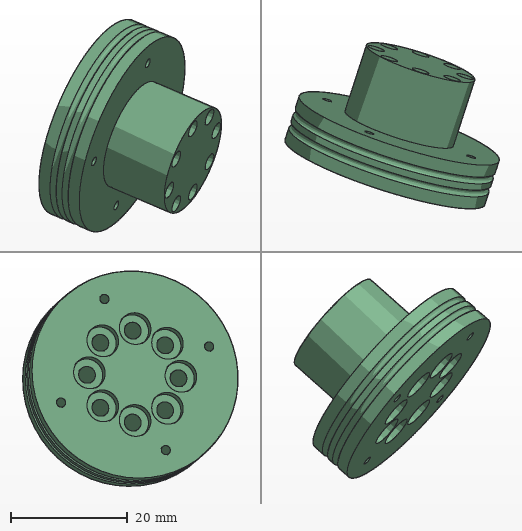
import cadquery as cq

flange_diameter = 36.0
flange_thickness = 8.0
hub_diameter = 19.5
total_length = 20.0

groove_count = 2
groove_width = 1.2
groove_radius = groove_width / 2
groove_pitch = 2 * groove_width
grooved_band_width = (groove_count - 1) * groove_pitch + groove_width
outer_land_width = (flange_thickness - grooved_band_width) / 2

bolt_count = 8
bolt_circle_radius = 8.0
bolt_hole_diameter = 2.9
bolt_start_angle = 0
counterbore_diameter = 5.5
counterbore_depth = 1.98

pin_count = 4
pin_circle_radius = 14.0
pin_hole_diameter = 1.6
pin_start_angle = 67.5


def cylinder_along_x(diameter, length):
    """Solid cylinder on the X axis, starting at the front face X = 0."""
    return cq.Workplane("YZ").circle(diameter / 2).extrude(length)


def hole_ring(circle_radius, start_angle, count, diameter, depth):
    """Ring of evenly spaced cylinders, entering from the front face."""
    return (
        cq.Workplane("YZ")
        .polarArray(circle_radius, start_angle, 360, count)
        .circle(diameter / 2)
        .extrude(depth)
    )


def rim_groove(center_x):
    """Ring of circular section, centred on the rim of the flange."""
    return (
        cq.Workplane("XY")
        .center(center_x, flange_diameter / 2)
        .circle(groove_radius)
        .revolve(360, (0, -flange_diameter / 2, 0), (1, -flange_diameter / 2, 0))
    )


flange = cylinder_along_x(flange_diameter, flange_thickness)
hub = cylinder_along_x(hub_diameter, total_length)
body = flange.union(hub)

first_groove_x = outer_land_width + groove_radius
for index in range(groove_count):
    body = body.cut(rim_groove(first_groove_x + index * groove_pitch))

bolt_holes = hole_ring(
    bolt_circle_radius, bolt_start_angle, bolt_count, bolt_hole_diameter, total_length
)
counterbores = hole_ring(
    bolt_circle_radius, bolt_start_angle, bolt_count, counterbore_diameter, counterbore_depth
)
pin_holes = hole_ring(
    pin_circle_radius, pin_start_angle, pin_count, pin_hole_diameter, flange_thickness
)

result = body.cut(bolt_holes).cut(counterbores).cut(pin_holes)